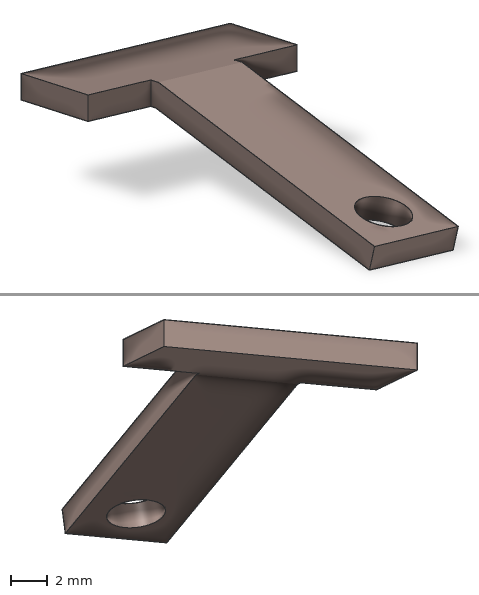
import cadquery as cq
import math

total_length = 24.12
head_width = 15.0
thickness = 1.5

head_length = 5.55
arm_width = 6.0
bend_x = 6.2
slope = 16.6

hole_diameter = 3.2
hole_from_tip = 2.85

slope_angle = math.radians(slope)
arm_length = (total_length - bend_x) / math.cos(slope_angle)
arm_direction = (math.cos(slope_angle), -math.sin(slope_angle))
arm_normal = (math.sin(slope_angle), math.cos(slope_angle))


def point_on_arm(distance, depth=0.0):
    """XZ point at a distance past the bend and a depth below the upper face."""
    return (
        bend_x + distance * arm_direction[0] - depth * arm_normal[0],
        distance * arm_direction[1] - depth * arm_normal[1],
    )


def make_head():
    return cq.Workplane("XY").box(
        head_length, head_width, thickness, centered=(False, True, False)
    ).translate((0, 0, -thickness))


def make_arm():
    lower_bend_x = bend_x - thickness * math.tan(slope_angle / 2)
    return (
        cq.Workplane("XZ")
        .moveTo(0, 0)
        .lineTo(bend_x, 0)
        .lineTo(*point_on_arm(arm_length))
        .lineTo(*point_on_arm(arm_length, thickness))
        .lineTo(lower_bend_x, -thickness)
        .lineTo(0, -thickness)
        .close()
        .extrude(arm_width / 2, both=True)
    )


def make_hole():
    hole_x, hole_z = point_on_arm(arm_length - hole_from_tip)
    upper_face = cq.Plane(
        origin=(hole_x, 0, hole_z),
        xDir=(arm_direction[0], 0, arm_direction[1]),
        normal=(arm_normal[0], 0, arm_normal[1]),
    )
    return cq.Workplane(upper_face).circle(hole_diameter / 2).extrude(thickness, both=True)


result = make_head().union(make_arm()).cut(make_hole())